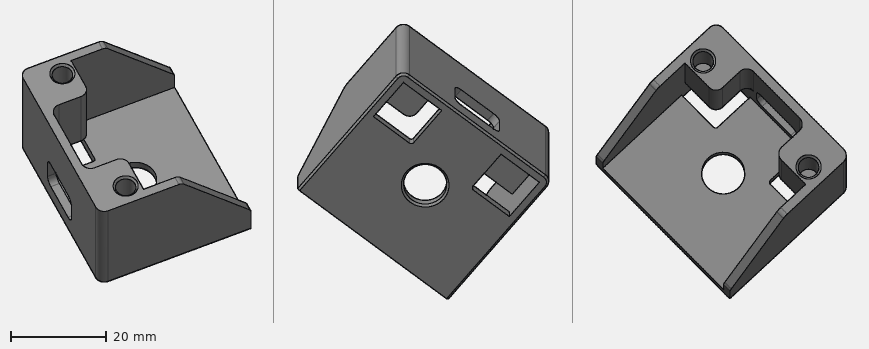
import cadquery as cq

width = 40.65
depth = 35.1
height = 26.0
wall = 2.0
floor_thickness = 2.48
corner_radius = 2.0
edge_chamfer = 0.5

rear_height = 7.0
slope_top_y = 19.05
slope_fillet = 1.5

inner_half_width = width / 2 - wall
block_inner_x = 9.0
block_rear_y = 11.1
block_bottom = 10.0
block_fillet = 2.0

floor_clearance = 0.98
opening_fillet = 0.6

screw_diameter = 4.3
screw_depth = 10.0
screw_x = 16.0
screw_y = 8.0

floor_hole_diameter = 9.05
floor_hole_y = depth / 2

window_width = 12.0
window_height = 7.95
window_bottom = 4.65
window_radius = 1.63


def box(x_min, x_max, y_min, y_max, z_min, z_max):
    """Box given by its limits along each axis."""
    size = (x_max - x_min, y_max - y_min, z_max - z_min)
    return cq.Workplane("XY").box(*size, centered=False).translate((x_min, y_min, z_min))


def make_shell():
    """Outer block with sloping sides, hollowed from the top and the rear."""
    outline = [(0, 0), (depth, 0), (depth, rear_height), (slope_top_y, height), (0, height)]
    block = cq.Workplane("YZ").polyline(outline).close().extrude(width / 2, both=True)
    slope_ends = cq.selectors.BoxSelector(
        (-width, slope_top_y - 0.4, rear_height - 0.4), (width, depth + 0.4, height + 0.4)
    )
    block = block.edges("|X").edges(slope_ends).fillet(slope_fillet)
    block = block.edges("|Z and <Y").fillet(corner_radius)
    block = block.faces("<Z").edges("not >Y").chamfer(edge_chamfer)
    cavity = box(-inner_half_width, inner_half_width, wall, depth, floor_thickness, height)
    return block.cut(cavity)


def make_screw_blocks():
    """Screw blocks joined to the walls, with a rounded recess between them."""
    bar = box(-inner_half_width, inner_half_width, wall, block_rear_y, block_bottom, height)
    recess = box(-block_inner_x, block_inner_x, wall, block_rear_y, block_bottom, height)
    blocks = bar.cut(recess)
    return blocks.edges("|Z and >Y").edges(
        cq.selectors.BoxSelector(
            (-block_inner_x - 0.4, 0, 0), (block_inner_x + 0.4, depth, height)
        )
    ).fillet(block_fillet)


def make_recess_corner(side):
    """Concave fillet where a screw block meets the front wall."""
    x_outer = side * block_inner_x
    x_inner = side * (block_inner_x - block_fillet)
    diagonal = block_fillet * (1 - 0.5**0.5)
    return (
        cq.Workplane("XY", origin=(0, 0, block_bottom))
        .moveTo(x_outer, wall)
        .lineTo(x_inner, wall)
        .threePointArc(
            (x_outer - side * diagonal, wall + diagonal),
            (x_outer, wall + block_fillet),
        )
        .close()
        .extrude(height - block_bottom)
    )


def make_floor_opening(side):
    """Opening through the floor below one screw block."""
    x_limits = sorted((side * (block_inner_x - floor_clearance), side * inner_half_width))
    opening = box(*x_limits, wall, block_rear_y + floor_clearance, 0, floor_thickness)
    inner_edge = "<X" if side > 0 else ">X"
    return opening.edges(f"|Z and >Y and {inner_edge}").fillet(opening_fillet)


def make_screw_hole(side):
    """Blind screw hole with a chamfered mouth."""
    radius = screw_diameter / 2
    profile = [
        (0, height),
        (radius + edge_chamfer, height),
        (radius, height - edge_chamfer),
        (radius, height - screw_depth),
        (0, height - screw_depth),
    ]
    hole = cq.Workplane("XZ").polyline(profile).close().revolve(360, (0, 0), (0, 1))
    return hole.translate((side * screw_x, screw_y, 0))


def make_floor_hole():
    """Through hole in the floor, chamfered at the underside like the base edges."""
    radius = floor_hole_diameter / 2
    profile = [
        (0, 0),
        (radius + edge_chamfer, 0),
        (radius, edge_chamfer),
        (radius, floor_thickness),
        (0, floor_thickness),
    ]
    hole = cq.Workplane("XZ").polyline(profile).close().revolve(360, (0, 0), (0, 1))
    return hole.translate((0, floor_hole_y, 0))


def make_window():
    """Rounded rectangular window through the front wall."""
    half_width = window_width / 2
    window_top = window_bottom + window_height
    window = box(-half_width, half_width, 0, wall, window_bottom, window_top)
    return window.edges("|Y").fillet(window_radius)


result = make_shell().union(make_screw_blocks())
for side in (-1, 1):
    result = result.union(make_recess_corner(side))
    result = result.cut(make_floor_opening(side))
    result = result.cut(make_screw_hole(side))
result = result.cut(make_floor_hole()).cut(make_window())